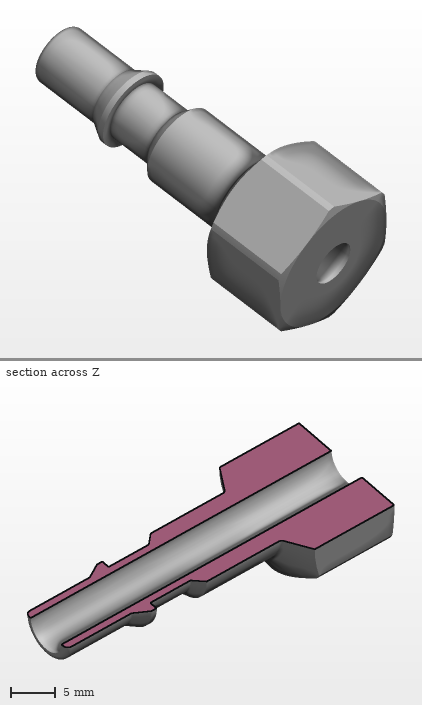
import cadquery as cq
import math

total_length = 43.0
tip_round = 0.7
flange_ramp_start = 9.25
flange_rim_start = 11.2
flange_end = 11.95
body_ramp_start = 17.67
body_start = 18.95
body_end = 29.6

bore_diameter = 5.4
stem_diameter = 7.5
flange_diameter = 9.7
body_diameter = 10.0
hex_across_flats = 17.0
hex_corner_diameter = 19.15

cone_half_angle = math.radians(60)
cone_root_fillet = 0.5
rear_chamfer_angle = math.radians(15)
rear_face_diameter = hex_across_flats


def turned_profile():
    """Half section of the solid turned shape: X along the axis, Y as radius."""
    stem_radius = stem_diameter / 2
    flange_radius = flange_diameter / 2
    body_radius = body_diameter / 2
    corner_radius = hex_corner_diameter / 2
    rear_radius = rear_face_diameter / 2
    cone_length = (corner_radius - body_radius) / math.tan(cone_half_angle)
    rear_chamfer_length = (corner_radius - rear_radius) * math.tan(rear_chamfer_angle)

    fillet_tangent = cone_root_fillet * math.tan(cone_half_angle / 2)
    fillet_start = (body_end - fillet_tangent, body_radius)
    fillet_end = (
        body_end + fillet_tangent * math.cos(cone_half_angle),
        body_radius + fillet_tangent * math.sin(cone_half_angle),
    )

    return (
        cq.Workplane("XY")
        .moveTo(0, 0)
        .lineTo(0, stem_radius - tip_round)
        .radiusArc((tip_round, stem_radius), tip_round)
        .lineTo(flange_ramp_start, stem_radius)
        .lineTo(flange_rim_start, flange_radius)
        .lineTo(flange_end, flange_radius)
        .lineTo(flange_end, stem_radius)
        .lineTo(body_ramp_start, stem_radius)
        .lineTo(body_start, body_radius)
        .lineTo(*fillet_start)
        .radiusArc(fillet_end, -cone_root_fillet)
        .lineTo(body_end + cone_length, corner_radius)
        .lineTo(total_length - rear_chamfer_length, corner_radius)
        .lineTo(total_length, rear_radius)
        .lineTo(total_length, 0)
        .close()
    )


def hex_bar():
    """Hexagonal bar along X with two flats facing +Y and -Y."""
    across_corners = hex_across_flats / math.cos(math.pi / 6)
    return (
        cq.Workplane("YZ")
        .transformed(rotate=(0, 0, 90))
        .polygon(6, across_corners)
        .extrude(total_length)
    )


turned = turned_profile().revolve(360, (0, 0, 0), (1, 0, 0))
bore = cq.Workplane("YZ").circle(bore_diameter / 2).extrude(total_length)

result = turned.intersect(hex_bar()).cut(bore)